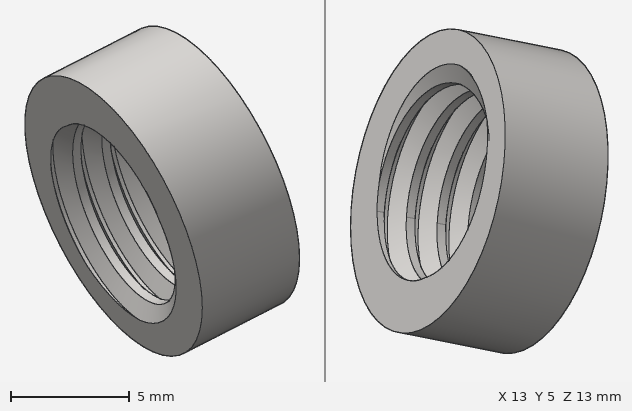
import cadquery as cq

outer_diameter = 13.0
ring_length = 5.0

crest_diameter = 8.53
root_diameter = 10.19
pitch = 1.5
groove_mouth = 1.07
root_flat = pitch / 8
turns_below_front = 5
turns_beyond_front = 1
bore_overlap = 0.09

crest_radius = crest_diameter / 2
root_radius = root_diameter / 2


def make_cylinder(radius):
    """Solid cylinder along Z, with its front face at z = ring_length."""
    return cq.Workplane("XY").circle(radius).extrude(ring_length)


def make_thread_cutter():
    """Helical groove whose middle meets the front face at the -Y side of the cylinder."""
    start_z = ring_length - turns_below_front * pitch
    helix_height = (turns_below_front + turns_beyond_front) * pitch

    flank_slope = (groove_mouth - root_flat) / 2 / (root_radius - crest_radius)
    inner_radius = crest_radius - bore_overlap
    inner_half_width = groove_mouth / 2 + bore_overlap * flank_slope
    root_half_width = root_flat / 2

    path = cq.Wire.makeHelix(pitch, helix_height, root_radius)
    cutter = (
        cq.Workplane("XZ")
        .moveTo(inner_radius, -inner_half_width)
        .lineTo(root_radius, -root_half_width)
        .lineTo(root_radius, root_half_width)
        .lineTo(inner_radius, inner_half_width)
        .close()
        .sweep(cq.Workplane(obj=path), isFrenet=True)
    )
    return cutter.translate((0, 0, start_z)).rotate((0, 0, 0), (0, 0, 1), -90)


grooved_cylinder = make_cylinder(outer_diameter / 2).cut(make_thread_cutter())
threaded_ring = grooved_cylinder.cut(make_cylinder(crest_radius))

result = (
    threaded_ring
    .translate((0, 0, -ring_length / 2))
    .rotate((0, 0, 0), (1, 0, 0), 90)
)